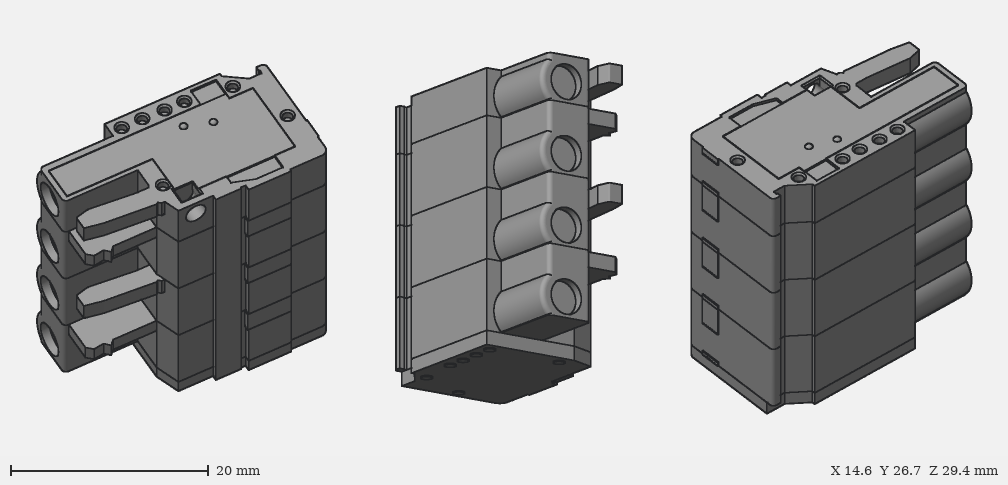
import cadquery as cq

plate_height = 1.5
tall_height = 7.52
tall_count = 3
top_height = 5.0
top_foot_z = plate_height + tall_count * tall_height

slope_start_x = 0.35
slope_start_y = 21.93
neck_x = 2.0
neck_y = 24.22
back_y = 26.57
side_x = 14.33
side_end_y = 22.05
ridge_x = 14.6
ridge_end_y = 17.1
waist_x = 13.95
flank_x = 13.5
flank_end_y = 9.55
slant_end_x = 10.78
base_y = 8.55
back_corner_radius = 0.85

rail_x = 14.1
rail_back_y = 16.53
rail_front_y = 13.55

hook_x = 1.05
hook_step_x = 1.6
hook_y = 25.55
hook_step_y = 25.65
hook_radius = 0.5

leg_left_x = 1.75
leg_right_x = 6.87
front_radius = 0.5
barrel_radius = 3.0
barrel_x = leg_right_x - barrel_radius
barrel_z = 2.2
wire_hole_diameter = 3.7
wire_hole_depth = 1.0

latch_height = 2.0
tongue_height = 1.61
latch_inner_x = 9.4
latch_tip_x = 9.25
latch_tip_y = 0.1
latch_root_radius = 0.3
latch_tip_radius = 0.15
tongue_y = 0.55

pad_start_x = 9.55
pad_end_x = 11.95
pad_rise = 0.12
lower_pad_height = 0.47
upper_pad_z = 4.17

insert_height = 2.5
insert_overhang = 0.12

peg_centers = [(8.1, 25.25), (2.08, 22.25), (1.38, 17.03), (1.38, 14.75), (1.25, 12.2), (1.25, 9.85), (9.8, 9.85)]
peg_diameter = 1.2
peg_length = 0.12
peg_hole_diameter = 1.1
peg_hole_depth = 1.0
peg_hole_chamfer = 0.2

panel_depth = 0.1
pocket_depth = 0.3
panel_left_x = 2.52
panel_notch_x = 3.23
panel_right_x = 11.95
panel_back_y = 23.95
panel_notch_y = 21.23
panel_end_y = 10.57
panel_leg_x = 6.3
panel_front_y = 0.65
left_pocket_x = 0.47
left_pocket_end_y = 18.25
dome_centers = [(5.1, 18.32), (4.1, 15.4)]
dome_radius = 0.45
dome_rise = 0.2

window_start_x = 10.85
window_end_x = 12.6
window_center_y = 11.57
window_length = 2.15
window_chamfer = 0.18
cross_bore_diameter = 2.3
cross_bore_depth = 1.61


def round_upright_edge(part, x, y, radius):
    """Fillet the vertical edge nearest to (x, y)."""
    nearest = cq.selectors.NearestToPointSelector((x, y, part.val().Center().z))
    return part.edges("|Z").edges(nearest).fillet(radius)


def outline_plate(height, back_left):
    """Housing outline without leg or latch; back_left lists the points from the neck to the back edge."""
    points = [
        (0, base_y),
        (0, slope_start_y),
        (slope_start_x, slope_start_y),
        (neck_x, neck_y),
        *back_left,
        (side_x, back_y),
        (side_x, side_end_y),
        (ridge_x, side_end_y),
        (ridge_x, ridge_end_y),
        (waist_x, ridge_end_y),
        (waist_x, rail_back_y),
        (flank_x, rail_back_y),
        (flank_x, flank_end_y),
        (slant_end_x, base_y),
    ]
    plate = cq.Workplane("XY").polyline(points).close().extrude(height)
    return round_upright_edge(plate, side_x, back_y, back_corner_radius)


def box(x_range, y_range, z_range):
    """Box between the given limits."""
    corner = (x_range[0], y_range[0], z_range[0])
    sizes = [limits[1] - limits[0] for limits in (x_range, y_range, z_range)]
    return cq.Workplane("XY").box(*sizes, centered=False).translate(corner)


def front_cylinder(radius, length):
    """Cylinder on the barrel axis, from the front face backwards."""
    start = cq.Workplane("XZ", origin=(barrel_x, 0, barrel_z))
    return start.circle(radius).extrude(-length)


def wire_barrel():
    """Part of the round wire barrel that bulges out of the leg, cut off at the foot of the module."""
    barrel = front_cylinder(barrel_radius, base_y).faces("<Y").edges().fillet(front_radius)
    x_range = (barrel_x - barrel_radius, leg_left_x + front_radius)
    kept = box(x_range, (0, base_y), (0, barrel_z + barrel_radius))
    return barrel.intersect(kept)


def leg(height):
    """Front leg, running up to the base of the housing."""
    block = box((leg_left_x, leg_right_x), (0, base_y), (0, height))
    return block.edges("|Z and <Y").fillet(front_radius)


def latch(height):
    """Long springy latch beside the leg."""
    overlap_x = latch_inner_x - 2 * latch_root_radius
    points = [
        (overlap_x, flank_end_y),
        (overlap_x, base_y),
        (latch_inner_x, base_y),
        (latch_inner_x, 6.9),
        (8.87, 1.61),
        (latch_tip_x, latch_tip_y),
        (10.8, latch_tip_y),
        (11.22, 2.2),
        (11.69, 8.05),
        (11.55, 8.28),
        (11.8, base_y),
        (11.8, flank_end_y),
    ]
    z_start = height - latch_height
    arm = cq.Workplane("XY", origin=(0, 0, z_start)).polyline(points).close().extrude(latch_height)
    arm = round_upright_edge(arm, latch_inner_x, base_y, latch_root_radius)
    return round_upright_edge(arm, latch_tip_x, latch_tip_y, latch_tip_radius)


def tongue(height):
    """Short flat tongue with a snap nose, joined to the leg."""
    points = [
        (leg_right_x, base_y),
        (leg_right_x, tongue_y),
        (10.3, tongue_y),
        (10.92, 1.23),
        (10.75, 2.4),
        (11.33, 2.97),
        (10.78, 3.5),
        (slant_end_x, base_y),
    ]
    z_start = height - tongue_height
    return cq.Workplane("XY", origin=(0, 0, z_start)).polyline(points).close().extrude(tongue_height)


def module(height, catch):
    """Module standing on Z = 0, with the given catch (latch or tongue) at its top."""
    back_left = [
        (neck_x, hook_step_y),
        (hook_step_x, hook_step_y),
        (hook_step_x, hook_y),
        (hook_x, hook_y),
        (hook_x, back_y),
    ]
    body = round_upright_edge(outline_plate(height, back_left), hook_x, back_y, hook_radius)
    body = body.union(leg(height)).union(wire_barrel()).union(catch(height))
    for z_range in ((0, lower_pad_height), (upper_pad_z, height)):
        body = body.union(box((pad_start_x, pad_end_x), (back_y, back_y + pad_rise), z_range))
    return body.cut(front_cylinder(wire_hole_diameter / 2, wire_hole_depth))


def ridge_insert():
    """Insert that completes the ridge at the top of a tall module."""
    z_range = (tall_height - insert_height, tall_height)
    return box((waist_x, ridge_x), (ridge_end_y - insert_overhang, side_end_y), z_range)


def sink(body, points, depth):
    """Sink an outline into the top face of the top module."""
    top = cq.Workplane("XY", origin=(0, 0, top_height))
    return body.cut(top.polyline(points).close().extrude(-depth))


def cut_panel_and_pockets(body):
    """Shallow panel with a deeper pocket on either side."""
    panel = [
        (panel_notch_x, panel_back_y),
        (panel_right_x, panel_back_y),
        (panel_right_x, panel_end_y),
        (panel_leg_x, panel_end_y),
        (panel_leg_x, panel_front_y),
        (panel_left_x, panel_front_y),
        (panel_left_x, panel_notch_y),
        (panel_notch_x, panel_notch_y),
    ]
    left_pocket = [
        (left_pocket_x, panel_notch_y),
        (panel_left_x, panel_notch_y),
        (panel_left_x, left_pocket_end_y),
        (left_pocket_x, left_pocket_end_y),
    ]
    right_pocket = [
        (panel_right_x, 21.58),
        (13.75, 21.58),
        (13.75, 18.4),
        (12.92, 15.97),
        (panel_right_x, 15.97),
    ]
    body = sink(body, panel, panel_depth)
    body = sink(body, left_pocket, pocket_depth)
    return sink(body, right_pocket, pocket_depth)


def cut_window(body):
    """Chamfered window above a cross bore that is open to the +X side."""
    width = window_end_x - window_start_x
    center = ((window_start_x + window_end_x) / 2, window_center_y)
    axis_z = top_height - cross_bore_depth
    shaft = (
        cq.Workplane("XY", origin=(*center, axis_z))
        .rect(width, window_length)
        .extrude(cross_bore_depth)
    )
    funnel = (
        cq.Workplane("XY", origin=(*center, top_height))
        .rect(width + 2 * window_chamfer, window_length + 2 * window_chamfer)
        .workplane(offset=-window_chamfer)
        .rect(width, window_length)
        .loft()
    )
    bore = (
        cq.Workplane("YZ", origin=(window_start_x, window_center_y, axis_z))
        .circle(cross_bore_diameter / 2)
        .extrude(ridge_x - window_start_x)
    )
    return body.cut(shaft).cut(funnel).cut(bore)


def cut_peg_holes(body):
    """Blind holes with a chamfered mouth in the top face."""
    top = cq.Workplane("XY", origin=(0, 0, top_height)).pushPoints(peg_centers)
    holes = top.circle(peg_hole_diameter / 2).extrude(-peg_hole_depth)
    mouths = top.circle(peg_hole_diameter / 2 + peg_hole_chamfer).extrude(-peg_hole_chamfer, taper=45)
    return body.cut(holes).cut(mouths)


def rail():
    """Rail from the top face down to the foot of the end plate, relative to the top module."""
    return box((flank_x, rail_x), (rail_front_y, rail_back_y), (-top_foot_z, top_height))


def top_module():
    """Short module with the rail and the details of the exposed top face."""
    body = cut_panel_and_pockets(module(top_height, latch).union(rail()))
    body = cut_peg_holes(cut_window(body))
    for x, y in dome_centers:
        dome = cq.Workplane("XY").sphere(dome_radius)
        body = body.union(dome.translate((x, y, top_height + dome_rise - dome_radius)))
    return body


def tall_module(catch):
    """Tall module with the seat for its ridge insert."""
    return module(tall_height, catch).cut(ridge_insert())


def end_plate():
    """Closing plate below the stack, with pegs underneath and no hook."""
    plate = outline_plate(plate_height, [(neck_x, back_y)])
    pegs = cq.Workplane("XY").pushPoints(peg_centers).circle(peg_diameter / 2).extrude(-peg_length)
    return plate.union(pegs)


bodies = [end_plate().val()]

for level in range(tall_count):
    z_foot = plate_height + level * tall_height
    catch = latch if level % 2 else tongue
    bodies.append(tall_module(catch).translate((0, 0, z_foot)).val())
    bodies.append(ridge_insert().translate((0, 0, z_foot)).val())

bodies.append(top_module().translate((0, 0, top_foot_z)).val())

result = cq.Compound.makeCompound(bodies)